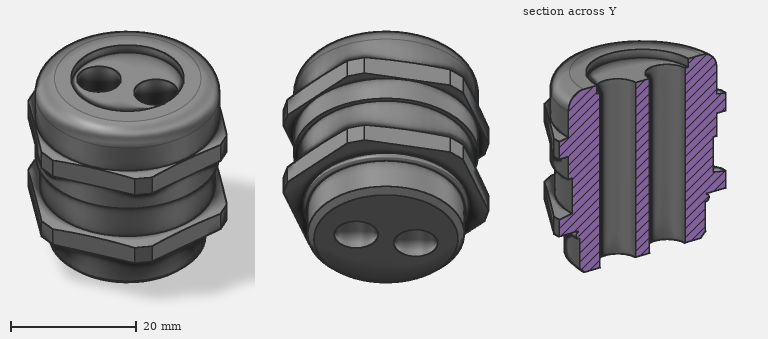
import cadquery as cq

total_height = 32.0
ring_bottom = 6.1
lower_nut_bottom = 7.5
body_top = 17.0
upper_nut_bottom = 20.95
nut_height = 3.45

thread_radius = 12.5
thread_chamfer = 1.0

ring_radius = 13.23
ring_height = lower_nut_bottom - ring_bottom

body_radius = 14.02
cap_radius = 14.75
cap_fillet = 3.05

nut_across_corners = 33.0
nut_across_flats = 30.0
nut_bevel_slope = 0.18

recess_radius = 9.0
recess_depth = 1.5
cable_hole_radius = 3.5
cable_hole_spacing = 9.77


def cylinder(radius, bottom, top):
    return cq.Workplane("XY").workplane(offset=bottom).circle(radius).extrude(top - bottom)


def hexagon(across_flats, turn):
    """Hexagonal prism; with no turn two of its flats face along X."""
    prism = cq.Workplane("XY").polygon(6, across_flats, circumscribed=True).extrude(nut_height)
    return prism.rotate((0, 0, 0), (0, 0, 1), turn)


def nut(bottom, bevel_inner_radius):
    """Hexagon trimmed flat at the corners and bevelled at the top by a cone starting at the given radius."""
    outer_radius = nut_across_corners / 2
    envelope_radius = 1.2 * outer_radius
    envelope_edge = nut_height - nut_bevel_slope * (envelope_radius - bevel_inner_radius)
    envelope = (
        cq.Workplane("XZ")
        .moveTo(0, 0)
        .lineTo(envelope_radius, 0)
        .lineTo(envelope_radius, envelope_edge)
        .lineTo(bevel_inner_radius, nut_height)
        .lineTo(0, nut_height)
        .close()
        .revolve(360, (0, 0, 0), (0, 1, 0))
    )
    trimmed = hexagon(nut_across_flats, 30).intersect(hexagon(nut_across_corners, 0))
    return trimmed.intersect(envelope).translate((0, 0, bottom))


thread = cylinder(thread_radius, 0, lower_nut_bottom).faces("<Z").chamfer(thread_chamfer)

ring_rim_radius = ring_height / 2
ring = (
    cq.Workplane("XZ")
    .moveTo(0, ring_bottom)
    .lineTo(ring_radius - ring_rim_radius, ring_bottom)
    .threePointArc(
        (ring_radius, ring_bottom + ring_rim_radius),
        (ring_radius - ring_rim_radius, lower_nut_bottom),
    )
    .lineTo(0, lower_nut_bottom)
    .close()
    .revolve(360, (0, 0, 0), (0, 1, 0))
)

body = cylinder(body_radius, lower_nut_bottom, body_top)
cap = cylinder(cap_radius, body_top, total_height).faces(">Z").edges().fillet(cap_fillet)

recess = cylinder(recess_radius, total_height - recess_depth, total_height)
cable_holes = (
    cq.Workplane("XY")
    .pushPoints([(-cable_hole_spacing / 2, 0), (cable_hole_spacing / 2, 0)])
    .circle(cable_hole_radius)
    .extrude(total_height)
)

result = (
    thread.union(ring)
    .union(nut(lower_nut_bottom, body_radius))
    .union(body)
    .union(cap)
    .union(nut(upper_nut_bottom, cap_radius))
    .cut(recess)
    .cut(cable_holes)
)